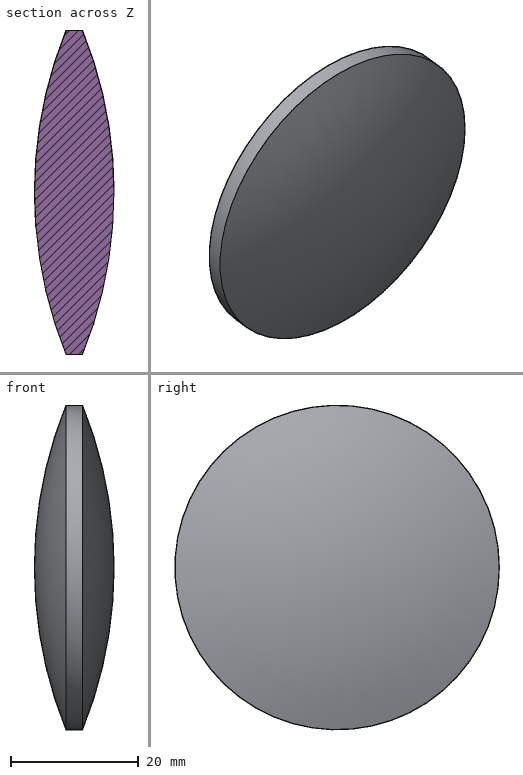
import cadquery as cq

diameter = 50.8
centre_thickness = 12.5
edge_thickness = 2.6

radius = diameter / 2
half_centre = centre_thickness / 2
half_edge = edge_thickness / 2

sag = half_centre - half_edge
sphere_radius = (radius**2 + sag**2) / (2 * sag)

mid_radius = radius / 2
sphere_centre = half_centre - sphere_radius
mid_x = sphere_centre + (sphere_radius**2 - mid_radius**2) ** 0.5

result = (
    cq.Workplane("XY")
    .moveTo(-half_centre, 0)
    .threePointArc((-mid_x, mid_radius), (-half_edge, radius))
    .lineTo(half_edge, radius)
    .threePointArc((mid_x, mid_radius), (half_centre, 0))
    .close()
    .revolve(360, (0, 0, 0), (1, 0, 0))
)